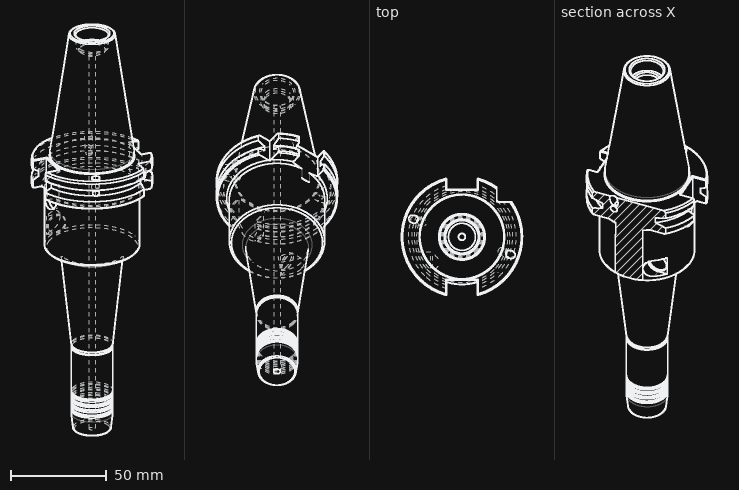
import cadquery as cq
import math


TAPER_LENGTH = 68.2
TAPER_LARGE_R = 22.1
TAPER_RATE = 7 / 24
TAPER_SMALL_R = TAPER_LARGE_R - TAPER_LENGTH * TAPER_RATE / 2
TAPER_END_CHAMFER = 0.7

FLANGE_R = 31.7
FLANGE_TOP = -2.7
FLANGE_BOTTOM = -18.7
FLANGE_TOP_CHAMFER_HEIGHT = 1.4
FLANGE_EDGE_CHAMFER = 0.7
GROOVE_R = 56.4 / 2
GROOVE_MIDDLE = -11.0
GROOVE_BOTTOM_WIDTH = 3.0
GROOVE_FLANK_HEIGHT = 1.8
NECK_R = 22.0
NECK_FLARE = 0.5

BODY_R = 50.0 / 2
BODY_BOTTOM = -53.9
BODY_TOP_CONE = 1.4
BODY_CORNER = 1.1
SHOULDER_INNER_R = 18.3
SHOULDER_BOTTOM = -56.5

TOTAL_LENGTH = 228.2
NOSE_BOTTOM = TAPER_LENGTH - TOTAL_LENGTH
NOSE_TAPER_TOP = -59.1
NOSE_TAPER_BOTTOM = -111.0
NOSE_TAPER_TOP_R = 16.5
TUBE_R = 11.0
RELIEF_DEPTH = 0.35
RELIEF_BOTTOM = -112.8
TIP_CONE_TOP = -151.0
TIP_R = 10.0
TIP_CHAMFER = 0.7

RING_COUNT = 4
RING_PITCH = 12.3 / RING_COUNT
RING_TOP = -138.0
RING_DEPTH = 0.35
RING_STEEP_HEIGHT = 0.8
RING_HEIGHT = 1.5

BORE_R = 17.1 / 2
BORE_CHAMFER = 0.8
BORE_DEPTH = 7.5
BORE_STEP_R = 7.0
BORE_STEP_DEPTH = 9.4
CHANNEL_R = 1.71
DRILL_HALF_ANGLE = 59

SLOT_HALF_WIDTH = 8.0
SLOT_FRONT_FLOOR = 22.5
SLOT_BACK_FLOOR = 24.9
SLOT_END = -28.0
SLOT_CHAMFER = 0.5

NOTCH_CORNER = 18.3

COOLANT_R = 2.0
COOLANT_CIRCLE_R = 54.0 / 2
COOLANT_ANGLE = 160
COOLANT_TILT = 35
COOLANT_DEPTH = 9.1
OUTLET_R = 1.71
OUTLET_DEPTH = 5.7

POCKET_FLOOR = 16.7
POCKET_HALF_HEIGHT = 10.7 / 2
POCKET_Y = -13.2
POCKET_Z = -46.0
SCREW_HOLE_R = 5.0
SCREW_HOLE_DEPTH = 1.1
SCREW_SEAT_HALF_ANGLE = 45


def drill_tip(radius, half_angle=DRILL_HALF_ANGLE):
    """Length of the cone that a drill of this radius leaves."""
    return radius / math.tan(math.radians(half_angle))


def make_body():
    """Turned outline of the whole holder, from the taper end down to the tip."""
    groove_half = GROOVE_BOTTOM_WIDTH / 2
    rim_half = groove_half + GROOVE_FLANK_HEIGHT
    return (
        cq.Workplane("XZ")
        .moveTo(0, TAPER_LENGTH)
        .lineTo(TAPER_SMALL_R - TAPER_END_CHAMFER, TAPER_LENGTH)
        .lineTo(TAPER_SMALL_R, TAPER_LENGTH - TAPER_END_CHAMFER)
        .lineTo(TAPER_LARGE_R, 0)
        .lineTo(NECK_R, FLANGE_TOP + NECK_FLARE)
        .lineTo(NECK_R + NECK_FLARE, FLANGE_TOP)
        .lineTo(FLANGE_R - FLANGE_EDGE_CHAMFER, FLANGE_TOP)
        .lineTo(FLANGE_R, FLANGE_TOP - FLANGE_TOP_CHAMFER_HEIGHT)
        .lineTo(FLANGE_R, GROOVE_MIDDLE + rim_half)
        .lineTo(GROOVE_R, GROOVE_MIDDLE + groove_half)
        .lineTo(GROOVE_R, GROOVE_MIDDLE - groove_half)
        .lineTo(FLANGE_R, GROOVE_MIDDLE - rim_half)
        .lineTo(FLANGE_R, FLANGE_BOTTOM + FLANGE_EDGE_CHAMFER)
        .lineTo(FLANGE_R - FLANGE_EDGE_CHAMFER, FLANGE_BOTTOM)
        .lineTo(BODY_R + BODY_TOP_CONE, FLANGE_BOTTOM)
        .lineTo(BODY_R, FLANGE_BOTTOM - BODY_TOP_CONE)
        .lineTo(BODY_R, BODY_BOTTOM)
        .lineTo(BODY_R - BODY_CORNER, BODY_BOTTOM - BODY_CORNER)
        .lineTo(SHOULDER_INNER_R, SHOULDER_BOTTOM)
        .tangentArcPoint((NOSE_TAPER_TOP_R, NOSE_TAPER_TOP), relative=False)
        .lineTo(TUBE_R, NOSE_TAPER_BOTTOM)
        .lineTo(TUBE_R - RELIEF_DEPTH, NOSE_TAPER_BOTTOM - RELIEF_DEPTH)
        .lineTo(TUBE_R - RELIEF_DEPTH, RELIEF_BOTTOM + RELIEF_DEPTH)
        .lineTo(TUBE_R, RELIEF_BOTTOM)
        .lineTo(TUBE_R, TIP_CONE_TOP)
        .lineTo(TIP_R, NOSE_BOTTOM + TIP_CHAMFER)
        .lineTo(TIP_R - TIP_CHAMFER, NOSE_BOTTOM)
        .lineTo(0, NOSE_BOTTOM)
        .close()
        .revolve(360, (0, 0), (0, 1))
    )


def make_bore():
    """Stepped bore from the taper end, running on as a narrow channel to the tip."""
    bottom = TAPER_LENGTH - BORE_STEP_DEPTH - drill_tip(BORE_STEP_R - CHANNEL_R)
    return (
        cq.Workplane("XZ")
        .moveTo(0, TAPER_LENGTH)
        .lineTo(BORE_R + BORE_CHAMFER, TAPER_LENGTH)
        .lineTo(BORE_R, TAPER_LENGTH - BORE_CHAMFER)
        .lineTo(BORE_R, TAPER_LENGTH - BORE_DEPTH)
        .lineTo(BORE_STEP_R, TAPER_LENGTH - BORE_DEPTH)
        .lineTo(BORE_STEP_R, TAPER_LENGTH - BORE_STEP_DEPTH)
        .lineTo(CHANNEL_R, bottom)
        .lineTo(CHANNEL_R, NOSE_BOTTOM)
        .lineTo(0, NOSE_BOTTOM)
        .close()
        .revolve(360, (0, 0), (0, 1))
    )


def make_grip_ring(top):
    """Shallow groove, steep above and sloping out below."""
    return (
        cq.Workplane("XZ")
        .moveTo(TUBE_R, top)
        .lineTo(TUBE_R - RING_DEPTH, top - RING_STEEP_HEIGHT)
        .lineTo(TUBE_R, top - RING_HEIGHT)
        .close()
        .revolve(360, (0, 0), (0, 1))
    )


def make_drive_slot(floor, side):
    """Round-ended slot open at the top; side is -1 for -Y and +1 for +Y."""
    center = SLOT_END + SLOT_HALF_WIDTH
    slot = (
        cq.Workplane("XZ")
        .moveTo(-SLOT_HALF_WIDTH, FLANGE_TOP)
        .lineTo(-SLOT_HALF_WIDTH, center)
        .threePointArc((0, SLOT_END), (SLOT_HALF_WIDTH, center))
        .lineTo(SLOT_HALF_WIDTH, FLANGE_TOP)
        .close()
        .extrude(-FLANGE_R)
        .translate((0, floor, 0))
    )
    top_flare = (
        cq.Workplane("XY", origin=(0, floor + FLANGE_R / 2, FLANGE_TOP - SLOT_CHAMFER))
        .rect(2 * SLOT_HALF_WIDTH, FLANGE_R)
        .extrude(SLOT_CHAMFER, taper=-45)
    )
    rim_edge = math.sqrt(FLANGE_R**2 - (SLOT_HALF_WIDTH + SLOT_CHAMFER) ** 2)
    rim_flare = (
        cq.Workplane("ZX", origin=(0, rim_edge - SLOT_CHAMFER, (FLANGE_TOP + FLANGE_BOTTOM) / 2))
        .rect(FLANGE_R, 2 * SLOT_HALF_WIDTH)
        .extrude(FLANGE_R - rim_edge + SLOT_CHAMFER, taper=-45)
    )
    slot = slot.union(top_flare).union(rim_flare)
    return slot if side > 0 else slot.mirror("XZ")


def make_notch():
    """Square corner cut through the full height of the flange."""
    height = FLANGE_TOP - FLANGE_BOTTOM
    return (
        cq.Workplane("XY")
        .box(FLANGE_R, FLANGE_R, height, centered=False)
        .translate((NOTCH_CORNER, NOTCH_CORNER, FLANGE_BOTTOM))
    )


def make_drill(radius, depth, rise=0, half_angle=DRILL_HALF_ANGLE):
    """Drill hanging below the XY plane with its cone past the full depth; rise is its length above."""
    return (
        cq.Workplane("XZ")
        .moveTo(0, rise)
        .lineTo(radius, rise)
        .lineTo(radius, -depth)
        .lineTo(0, -depth - drill_tip(radius, half_angle))
        .close()
        .revolve(360, (0, 0), (0, 1))
    )


def make_coolant_hole():
    """Hole that leans inward from the flange top face and a radial outlet from it into the V groove."""
    inlet = make_drill(COOLANT_R, COOLANT_DEPTH, rise=COOLANT_R)
    inlet = inlet.rotate((0, 0, 0), (0, 1, 0), COOLANT_TILT)
    inlet = inlet.translate((COOLANT_CIRCLE_R, 0, FLANGE_TOP))
    outlet = make_drill(OUTLET_R, OUTLET_DEPTH, rise=FLANGE_R - GROOVE_R)
    outlet = outlet.rotate((0, 0, 0), (0, 1, 0), 90)
    return inlet.union(outlet.translate((GROOVE_R, 0, GROOVE_MIDDLE)))


def make_screw_pocket():
    """Half-round pocket that runs out toward -Y, with a conical seat in its floor."""
    depth = BODY_R - POCKET_FLOOR
    round_end = cq.Workplane("YZ").circle(POCKET_HALF_HEIGHT).extrude(-depth)
    run_out = cq.Workplane("XY").box(depth, BODY_R, 2 * POCKET_HALF_HEIGHT).translate(
        (-depth / 2, -BODY_R / 2, 0)
    )
    seat = make_drill(SCREW_HOLE_R, SCREW_HOLE_DEPTH, half_angle=SCREW_SEAT_HALF_ANGLE)
    seat = seat.rotate((0, 0, 0), (0, 1, 0), -90)
    pocket = round_end.union(run_out).union(seat)
    return pocket.translate((-POCKET_FLOOR, POCKET_Y, POCKET_Z))


result = make_body().cut(make_bore())

for index in range(RING_COUNT):
    result = result.cut(make_grip_ring(RING_TOP - index * RING_PITCH))

result = result.cut(make_drive_slot(SLOT_FRONT_FLOOR, -1))
result = result.cut(make_drive_slot(SLOT_BACK_FLOOR, 1))
result = result.cut(make_notch())

for angle in (COOLANT_ANGLE, COOLANT_ANGLE + 180):
    result = result.cut(make_coolant_hole().rotate((0, 0, 0), (0, 0, 1), angle))

result = result.cut(make_screw_pocket())